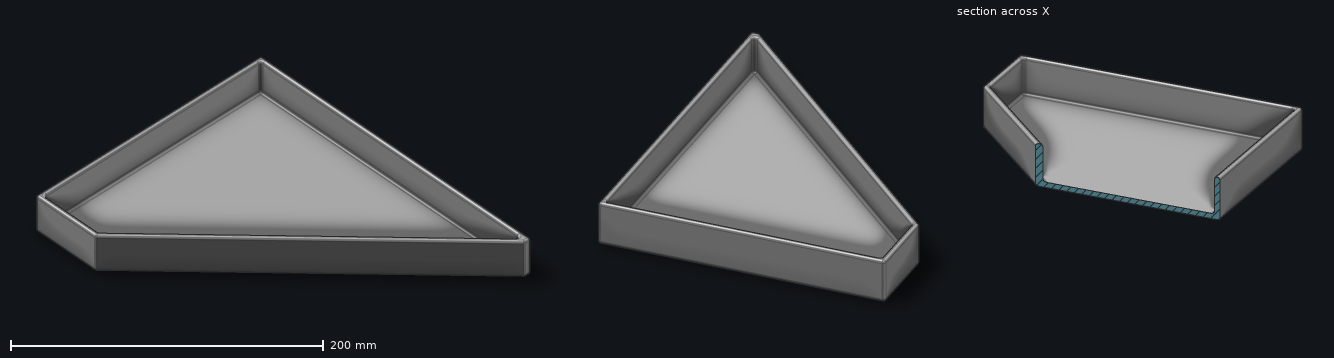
import cadquery as cq

length = 250.0
depth = 200.0
height = 30.0

blunt_end = 5.8
front_length = length - (depth - blunt_end)

wall = 4.0
floor = 4.0
half_crest = 0.002
edge_radius = wall / 2 - half_crest


def outer_body():
    """Solid block with the plan outline and all outer edges rounded except the top."""
    outline = [
        (0, 0),
        (front_length, 0),
        (length, depth - blunt_end),
        (length, depth),
        (0, depth),
    ]
    block = cq.Workplane("XY").polyline(outline).close().extrude(height)
    return block.edges("|Z or <Z").fillet(edge_radius)


def cavity():
    """Tray interior, with rounded upright corners and a rounded floor edge."""
    slant_wall = wall * 2**0.5
    back = depth - wall
    slant_start = front_length - slant_wall
    outline = [
        (wall, wall),
        (slant_start + wall, wall),
        (slant_start + back, back),
        (wall, back),
    ]
    space = cq.Workplane("XY").workplane(offset=floor).polyline(outline).close().extrude(height - floor)
    return space.edges("|Z or <Z").fillet(edge_radius)


def round_rim(tray):
    """Round the inner and outer edges of the wall tops."""
    return tray.faces(">Z").edges().fillet(edge_radius)


result = round_rim(outer_body().cut(cavity()))